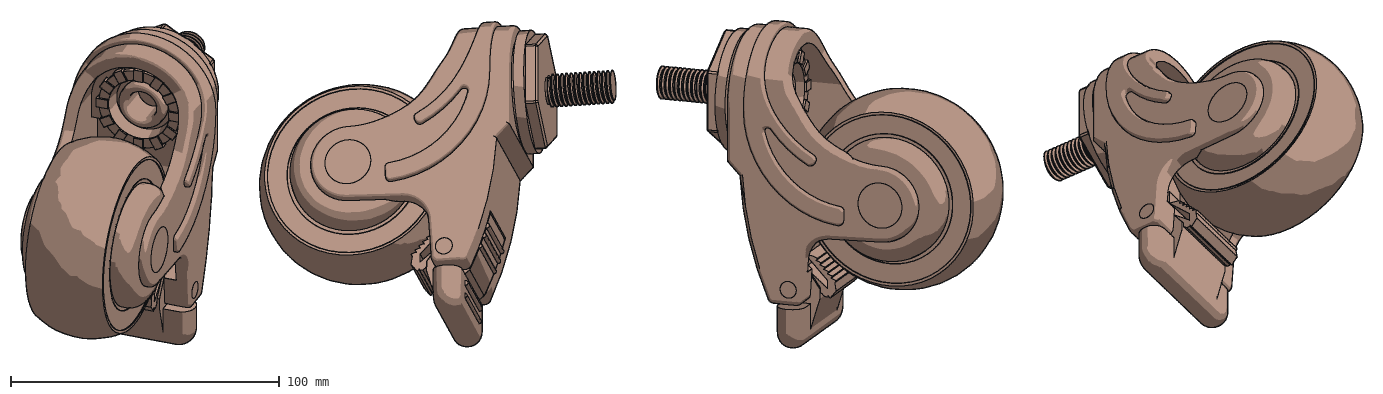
import cadquery as cq
import math


overall_length = 133.7
overall_height = 119.0
band_radius = 27.0
stem_height = 32.2
lowest_z = stem_height + band_radius - overall_height

wheel_radius = 37.8
tyre_half_width = 15.4
tyre_edge_radius = 33.4
disc_radius = 32.4
disc_half_width = 15.0
groove_outer_radius = 25.0
groove_half_width = 14.6
hub_shoulder_half_width = 16.7
hub_radius = 23.5
hub_face_radius = 17.4
hub_half_width = 22.3
axle_radius = 8.7

fork_half_width = 25.1
fork_inner_half_width = 19.8
fork_back_y = 61.0
fork_bottom_z = -42.0
fork_edge_round = 1.6
fork_top_z = stem_height + band_radius
boss_radius = 14.5
rim_points = [(15.6, 17.9), (26.1, 24.6), (33.3, 34.8), (39.3, fork_top_z)]
back_step_top = (fork_back_y, 11.2)
back_step_bottom = (56.0, 6.2)
back_curve_middle = (51.7, -20.7)
back_corner = (44.1, fork_bottom_z)
front_corner = (31.4, fork_bottom_z)
throat_corner = (29.7, -15.5)
throat_tangent_angle = -92.1
throat_radius = 10.7
bottom_corner_radius = 2.4
pocket_floor_y = 45.5
pocket_floor_bottom_z = 24.1
recess_floor_y = 51.7
recess_floor_bottom_z = 5.2
ramp_start_y = 48.1
ramp_start_z = -12.7
ramp_end_y = 30.8
ramp_end_z = -29.8
hub_clearance = 0.1
hub_recess_mouth_radius = 23.0
hub_recess_floor_radius = 20.0
cut_reach = 80.2

band_back_y = 53.8
band_front_y = 47.9
band_round = 1.0
finger_outer_radius = 41.5
finger_inner_radius = 34.2
lower_finger_end_angle = -87
finger_end_radius = 1.9
finger_crotch = (46.5, 31.22)
crotch_radius = 1.6
upper_finger_inner_radius = 41.5
upper_finger_outer_radius = 45.9
upper_finger_centre_z = 53.5
upper_finger_end_angle = -64

lever_half_width = 14.3
slot_half_width = 15.0
slot_top_z = -19.4
lever_top_z = -20.0
pivot_y = 36.4
pivot_z = -35.8
pivot_radius = 3.2
foot_top_z = -43.5
foot_back_y = 42.3
foot_front_y = 31.4
foot_corner_radius = 6.7
foot_bottom_round = 5.1
plate_half_width = 13.4
plate_tooth_count = 6
plate_tooth_height = 0.7
plate_tooth_start = (31.0, -25.3)
plate_tooth_end = (22.2, -34.8)
rib_radius = 1.0
rib_places = [(50.7, -24.9), (49.5, -28.6), (47.9, -32.6), (42.5, -47.1), (42.1, -52.0)]

stem_end_y = overall_length - wheel_radius
thread_radius = 6.2
thread_root_radius = 5.1
thread_pitch = 1.7
thread_start_y = 71.8
thread_half_crest = 0.1
thread_embed = 0.4
hex_corner_radius = 22.9
hex_corner_chamfer = 0.5
hex_face_chamfer = 0.8
hex_back_y = 70.9
hex_front_y = 66.2
washer_radius = 23.0
washer_front_y = 62.2
neck_radius = 20.0
crown_inner_radius = 12.2
crown_radius = 16.0
crown_face_y = 43.5
tooth_block_radius = 16.8
tooth_block_width = 3.6
tooth_block_count = 12
tooth_block_height = 0.8
nose_radius = 9.4
nose_bore_radius = 5.7
nose_face_y = 45.5
nose_lip_height = 2.0
groove_radius = 11.2
groove_floor_y = 49.5
nose_bore_end_y = 57.5


def on_circle(centre, radius, degrees):
    angle = math.radians(degrees)
    return (centre[0] + radius * math.cos(angle), centre[1] + radius * math.sin(angle))


def across(profile, half_width):
    """Extrude a YZ outline evenly to both sides of the middle plane."""
    return profile.extrude(half_width, both=True)


def edges_at(slab, corner):
    """The edges along X that pass through a YZ corner."""
    margin = 0.1
    low = (-cut_reach, corner[0] - margin, corner[1] - margin)
    high = (cut_reach, corner[0] + margin, corner[1] + margin)
    return slab.edges("|X").edges(cq.selectors.BoxSelector(low, high))


def arch(radius, bottom_z, back_y, front_y):
    """Round-topped block about the stem axis, running down to bottom_z."""
    return (
        cq.Workplane("XZ", origin=(0, back_y, 0))
        .moveTo(-radius, bottom_z)
        .lineTo(-radius, stem_height)
        .threePointArc((0, stem_height + radius), (radius, stem_height))
        .lineTo(radius, bottom_z)
        .close()
        .extrude(back_y - front_y)
    )


def make_wheel():
    bulge_x = hub_shoulder_half_width + (hub_half_width - hub_shoulder_half_width) * math.sqrt(0.5)
    bulge_radius = hub_face_radius + (hub_radius - hub_face_radius) * math.sqrt(0.5)
    profile = (
        cq.Workplane("XY")
        .moveTo(hub_half_width, axle_radius)
        .lineTo(hub_half_width, hub_face_radius)
        .threePointArc((bulge_x, bulge_radius), (hub_shoulder_half_width, hub_radius))
        .lineTo(groove_half_width, hub_radius)
        .lineTo(groove_half_width, groove_outer_radius)
        .lineTo(disc_half_width, groove_outer_radius)
        .lineTo(disc_half_width, disc_radius)
        .lineTo(tyre_half_width, disc_radius)
        .lineTo(tyre_half_width, tyre_edge_radius)
        .threePointArc((0, wheel_radius), (-tyre_half_width, tyre_edge_radius))
        .lineTo(-tyre_half_width, disc_radius)
        .lineTo(-disc_half_width, disc_radius)
        .lineTo(-disc_half_width, groove_outer_radius)
        .lineTo(-groove_half_width, groove_outer_radius)
        .lineTo(-groove_half_width, hub_radius)
        .lineTo(-hub_shoulder_half_width, hub_radius)
        .threePointArc((-bulge_x, bulge_radius), (-hub_half_width, hub_face_radius))
        .lineTo(-hub_half_width, axle_radius)
        .close()
    )
    return profile.revolve(360, (0, 0), (1, 0))


def make_axle():
    return across(cq.Workplane("YZ").circle(axle_radius), fork_half_width)


def fork_side():
    """Slab with the fork's side outline, its corners already rounded."""
    slab = across(
        cq.Workplane("YZ")
        .moveTo(fork_back_y, fork_top_z)
        .lineTo(*back_step_top)
        .lineTo(*back_step_bottom)
        .threePointArc(back_curve_middle, back_corner)
        .lineTo(*front_corner)
        .lineTo(*throat_corner)
        .lineTo(*on_circle((0, 0), boss_radius, throat_tangent_angle))
        .threePointArc((-boss_radius, 0), (0, boss_radius))
        .spline(rim_points, tangents=[(1, 0), (0, 1)], includeCurrent=True)
        .close(),
        fork_half_width,
    )
    slab = edges_at(slab, back_corner).fillet(bottom_corner_radius)
    slab = edges_at(slab, front_corner).fillet(bottom_corner_radius)
    slab = edges_at(slab, throat_corner).fillet(throat_radius)
    return slab


def fork_blank():
    blank = arch(fork_half_width, fork_bottom_z, fork_back_y, -boss_radius).intersect(fork_side())
    return blank.edges("not(|X or |Y) or (|Y and <Z)").fillet(fork_edge_round)


def finger(centre, inner_radius, outer_radius, end_angle):
    """Strip that curves down from the band about a centre."""
    strip = across(
        cq.Workplane("YZ")
        .moveTo(centre[0] + outer_radius, centre[1])
        .threePointArc(
            on_circle(centre, outer_radius, end_angle / 2),
            on_circle(centre, outer_radius, end_angle),
        )
        .lineTo(*on_circle(centre, inner_radius, end_angle))
        .threePointArc(
            on_circle(centre, inner_radius, end_angle / 2),
            (centre[0] + inner_radius, centre[1]),
        )
        .close(),
        band_radius,
    )
    for radius in (inner_radius, outer_radius):
        strip = edges_at(strip, on_circle(centre, radius, end_angle)).fillet(finger_end_radius)
    return strip


def raised_band():
    """Band over the top of the fork, with a wide lower and a narrow upper finger on each side."""
    lower_centre = (band_back_y - finger_outer_radius, stem_height)
    upper_centre = (band_front_y - upper_finger_inner_radius, upper_finger_centre_z)
    above_top_z = fork_top_z + 6.7
    side = across(
        cq.Workplane("YZ")
        .moveTo(lower_centre[0] + finger_inner_radius, stem_height)
        .lineTo(band_back_y, stem_height)
        .lineTo(band_back_y, above_top_z)
        .lineTo(band_front_y, above_top_z)
        .lineTo(band_front_y, upper_finger_centre_z)
        .lineTo(band_front_y + 1.3, upper_finger_centre_z)
        .close(),
        band_radius,
    )
    side = side.union(
        finger(lower_centre, finger_inner_radius, finger_outer_radius, lower_finger_end_angle)
    )
    side = side.union(
        finger(upper_centre, upper_finger_inner_radius, upper_finger_outer_radius, upper_finger_end_angle)
    )
    side = edges_at(side.clean(), finger_crotch).fillet(crotch_radius)
    block = arch(band_radius, -13.4, fork_back_y, 0).intersect(side)
    return block.edges("not(|X or |Y)").fillet(band_round)


def fork_pocket():
    """Space between the arms, open to the front, with a stepped and sloping floor."""
    front_y = -26.7
    top_z = 66.9
    side = (
        cq.Workplane("YZ")
        .moveTo(pocket_floor_y, top_z)
        .lineTo(pocket_floor_y, pocket_floor_bottom_z)
        .lineTo(recess_floor_y, pocket_floor_bottom_z)
        .lineTo(recess_floor_y, recess_floor_bottom_z)
        .lineTo(ramp_start_y, ramp_start_z)
        .lineTo(ramp_end_y, ramp_end_z)
        .lineTo(front_y, ramp_end_z)
        .lineTo(front_y, top_z)
        .close()
    )
    block = arch(fork_inner_half_width, -53.5, fork_back_y, front_y)
    return block.intersect(across(side, fork_inner_half_width))


def hub_recesses():
    """Two cones that clear the bulging hub, one sunk into each arm."""
    floor_x = hub_half_width + hub_clearance
    profile = (
        cq.Workplane("XY")
        .moveTo(-floor_x, 0)
        .lineTo(-floor_x, hub_recess_floor_radius)
        .lineTo(-fork_inner_half_width, hub_recess_mouth_radius)
        .lineTo(fork_inner_half_width, hub_recess_mouth_radius)
        .lineTo(floor_x, hub_recess_floor_radius)
        .lineTo(floor_x, 0)
        .close()
    )
    return profile.revolve(360, (0, 0), (1, 0))


def lever_slot():
    slot = cq.Workplane("XY", origin=(0, 0, -cut_reach))
    return slot.rect(2 * slot_half_width, 2 * cut_reach).extrude(slot_top_z + cut_reach)


def make_fork():
    fork = fork_blank().union(raised_band()).cut(fork_pocket())
    crown_hole = cq.Workplane("XZ", origin=(0, cut_reach, stem_height)).circle(crown_radius).extrude(66.9)
    fork = fork.cut(hub_recesses()).cut(lever_slot()).cut(crown_hole)
    return fork.cut(make_axle()).cut(lever_pivot())


def lever_pivot():
    return across(cq.Workplane("YZ").center(pivot_y, pivot_z).circle(pivot_radius), fork_half_width)


def lever_web():
    outline = (
        cq.Workplane("YZ")
        .moveTo(51.9, lever_top_z)
        .threePointArc((49.0, -30.2), back_corner)
        .lineTo(foot_back_y, foot_top_z)
        .lineTo(foot_back_y, -53.5)
        .lineTo(foot_front_y, -53.2)
        .lineTo(27.8, -41.5)
        .lineTo(27.8, -37.5)
        .lineTo(33.4, -29.4)
        .lineTo(33.4, lever_top_z)
        .close()
    )
    return across(outline, lever_half_width)


def lever_foot():
    height = foot_top_z - lowest_z
    depth = foot_back_y - foot_front_y
    foot = cq.Workplane("XY").box(2 * fork_half_width, depth, height)
    foot = foot.edges("|Y and <Z").fillet(foot_corner_radius)
    foot = foot.faces("<Z").edges().fillet(foot_bottom_round)
    return foot.translate((0, (foot_back_y + foot_front_y) / 2, (foot_top_z + lowest_z) / 2))


def brake_plate():
    """Sloping plate whose front edge is a row of saw teeth facing the tyre."""
    run_y = plate_tooth_end[0] - plate_tooth_start[0]
    run_z = plate_tooth_end[1] - plate_tooth_start[1]
    teeth = [plate_tooth_start]
    for i in range(plate_tooth_count):
        crest = (i + 0.9) / plate_tooth_count
        root = (i + 1) / plate_tooth_count
        crest_y = plate_tooth_start[0] + run_y * crest - plate_tooth_height
        crest_z = plate_tooth_start[1] + run_z * crest + plate_tooth_height
        teeth.append((crest_y, crest_z))
        teeth.append((plate_tooth_start[0] + run_y * root, plate_tooth_start[1] + run_z * root))
    outline = teeth + [(21.7, -38.0), (24.1, -40.9), (25.1, -39.6), (25.1, -34.1), (34.1, -24.7)]
    return across(cq.Workplane("YZ").polyline(outline).close(), plate_half_width)


def spring_arm():
    outline = [(34.1, -29.7), (24.9, -37.5), (24.9, -40.5), (26.2, -40.5), (34.1, -33.4)]
    return across(cq.Workplane("YZ").polyline(outline).close(), plate_half_width)


def grip_ribs():
    return across(cq.Workplane("YZ").pushPoints(rib_places).circle(rib_radius), lever_half_width)


def make_lever():
    lever = lever_web().union(lever_foot()).union(brake_plate()).union(spring_arm())
    return lever.union(grip_ribs()).union(lever_pivot())


def stem_thread():
    """Threaded rod: a helical ridge on a round core."""
    length = stem_end_y - thread_start_y
    helix = cq.Wire.makeHelix(thread_pitch, length + 2 * thread_pitch, thread_root_radius)
    half_base = 0.48 * thread_pitch
    ridge = (
        cq.Workplane("XZ")
        .polyline([
            (thread_root_radius - thread_embed, -half_base),
            (thread_radius, -thread_half_crest),
            (thread_radius, thread_half_crest),
            (thread_root_radius - thread_embed, half_base),
        ])
        .close()
        .sweep(cq.Workplane(obj=helix), isFrenet=True)
        .translate((0, 0, -thread_pitch))
    )
    core = cq.Workplane("XY").circle(thread_root_radius).extrude(length)
    envelope = cq.Workplane("XY").circle(2 * thread_radius).extrude(length)
    thread = core.union(ridge.intersect(envelope))
    return thread.rotate((0, 0, 0), (1, 0, 0), -90).translate((0, thread_start_y, 0))


def stem_body():
    """Washer, neck, crown ring and hollow round-lipped nose, turned about the stem axis."""
    lip_y = nose_face_y + nose_lip_height
    lip_radius = (nose_radius + nose_bore_radius) / 2
    profile = (
        cq.Workplane("XY")
        .moveTo(0, thread_start_y)
        .lineTo(thread_root_radius, thread_start_y)
        .lineTo(thread_root_radius, hex_front_y)
        .lineTo(washer_radius, hex_front_y)
        .lineTo(washer_radius, washer_front_y)
        .lineTo(neck_radius, washer_front_y)
        .lineTo(neck_radius, fork_back_y)
        .lineTo(crown_radius, fork_back_y)
        .lineTo(crown_radius, crown_face_y)
        .lineTo(crown_inner_radius, crown_face_y)
        .lineTo(groove_radius, groove_floor_y)
        .lineTo(nose_radius, groove_floor_y)
        .lineTo(nose_radius, lip_y)
        .threePointArc((lip_radius, nose_face_y), (nose_bore_radius, lip_y))
        .lineTo(nose_bore_radius, nose_bore_end_y)
        .lineTo(0, nose_bore_end_y)
        .close()
    )
    return profile.revolve(360, (0, 0), (0, 1))


def hex_head():
    head = cq.Workplane("XZ", origin=(0, hex_back_y, 0)).polygon(6, 2 * hex_corner_radius)
    head = head.extrude(hex_back_y - hex_front_y).rotate((0, 0, 0), (0, 1, 0), 90)
    head = head.edges("|Y").chamfer(hex_corner_chamfer)
    return head.faces(">Y").chamfer(hex_face_chamfer)


def crown_teeth():
    """Ring of blocks standing proud of the crown face."""
    teeth = cq.Workplane("XZ")
    for i in range(tooth_block_count):
        block = (
            cq.Workplane("XZ", origin=(0, pocket_floor_y, 0))
            .center(0, (crown_inner_radius + tooth_block_radius) / 2)
            .rect(tooth_block_width, tooth_block_radius - crown_inner_radius)
            .extrude(pocket_floor_y - crown_face_y + tooth_block_height)
            .rotate((0, 0, 0), (0, 1, 0), i * 360 / tooth_block_count)
        )
        teeth = teeth.add(block)
    bore = cq.Workplane("XZ", origin=(0, fork_back_y, 0)).circle(crown_inner_radius).extrude(fork_back_y)
    return teeth.combine().cut(bore)


def make_stem():
    stem = stem_body().union(hex_head()).union(crown_teeth()).union(stem_thread())
    return stem.translate((0, 0, stem_height))


wheel = make_wheel()
axle = make_axle()
fork = make_fork()
lever = make_lever()
stem = make_stem()

result = cq.Compound.makeCompound([fork.val(), wheel.val(), axle.val(), lever.val(), stem.val()])